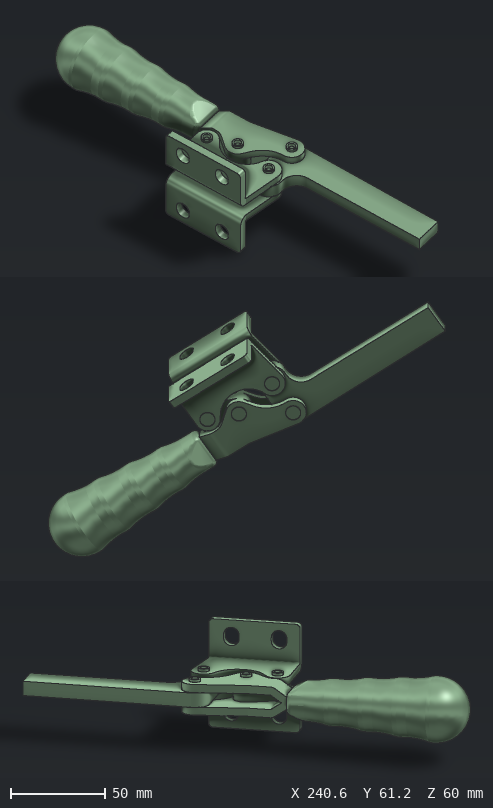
import cadquery as cq
import math


sheet = 4.5
inner_gap = 8.0
half_gap = inner_gap / 2
plate_face = half_gap + sheet
bend_outer_radius = 5.0
bend_inner_radius = bend_outer_radius - sheet

rear_pivot = (6.75, 27.2)
link_pivot = (22.4, 33.8)
front_pivot = (46.7, 29.0)
arm_pivot = (46.7, 49.2)
lobe_radius = 7.0

base_length = 50.0
base_width = 60.0
flange_corner_radius = 2.5
notch_centre = (26.4, 37.2)
slot_first_x = 11.6
slot_pitch_x = 26.0
slot_pitch_z = 41.6
slot_width = 8.4
slot_length = 10.0

lever_axis_y = 43.2
lever_neck_width = 16.0
lever_shoulder_x = 17.5
lever_crook_radius = 19.0
joggle_end_x = 5.2
joggle_angle = 34.0
lever_tail_x = -7.0

arm_end_x = 138.8
arm_lower_y = 40.0
arm_upper_y = 56.4
arm_boss_radius = 8.0
arm_throat_radius = 9.4

rivet_radius = 3.0
rivet_head_height = 1.5
rivet_foot_radius = 4.0
rivet_foot_height = 0.5
dimple_radius = 2.0

grip_start_x = -101.8
grip_length = 98.0
ball_radius = 18.0
ball_end = 19.9
ring_first = 31.2
ring_pitch = 18.9
ring_land = 5.0
ring_length = 7.8
ring_radii = (16.0, 14.4, 12.7)
ring_swell = 0.2
groove_sag = 0.35
grip_end_radius = 11.1
grip_end_round = 3.0
taper_start = 88.5
taper_end_half_height = 5.4


def polar(centre, radius, angle):
    """Point at a radius and an angle in radians around a centre."""
    return (centre[0] + radius * math.cos(angle), centre[1] + radius * math.sin(angle))


def tangent(centre_a, radius_a, centre_b, radius_b):
    """Ends of the line touching two circles, travelling from a to b.

    A positive radius puts the contact on the left of the line of travel, a
    negative radius on the right, and zero stands for a plain point.
    """
    dx = centre_b[0] - centre_a[0]
    dy = centre_b[1] - centre_a[1]
    turn = math.acos((radius_a - radius_b) / math.hypot(dx, dy))
    normal = math.atan2(dy, dx) + turn
    return polar(centre_a, radius_a, normal), polar(centre_b, radius_b, normal)


def arc_to(path, centre, start, end, clockwise):
    """Continue a path from start to end on an arc around a centre."""
    start_angle = math.atan2(start[1] - centre[1], start[0] - centre[0])
    end_angle = math.atan2(end[1] - centre[1], end[0] - centre[0])
    if clockwise:
        sweep = -((start_angle - end_angle) % (2 * math.pi))
    else:
        sweep = (end_angle - start_angle) % (2 * math.pi)
    radius = math.dist(centre, start)
    return path.threePointArc(polar(centre, radius, start_angle + sweep / 2), end)


def sagging_arc_to(path, start, end, sag):
    """Continue a path on an arc that passes below the chord midpoint by sag."""
    middle = ((start[0] + end[0]) / 2, (start[1] + end[1]) / 2 - sag)
    return path.threePointArc(middle, end)


def base_web_outline():
    """Side outline of the base: two lobes with a round notch between them."""
    notch_radius = math.dist(notch_centre, front_pivot) - lobe_radius
    rear_lobe_start = (0, rear_pivot[1])
    rear_lobe_end, notch_start = tangent(rear_pivot, rear_pivot[0], notch_centre, -notch_radius)
    notch_angle = math.atan2(notch_centre[1] - front_pivot[1], notch_centre[0] - front_pivot[0])
    notch_end = polar(front_pivot, lobe_radius, notch_angle)
    front_corner = (base_length, bend_outer_radius)
    front_lobe_end, _ = tangent(front_pivot, lobe_radius, front_corner, 0)

    path = cq.Workplane("XY").lineTo(*rear_lobe_start)
    path = arc_to(path, rear_pivot, rear_lobe_start, rear_lobe_end, True)
    path = path.lineTo(*notch_start)
    path = arc_to(path, notch_centre, notch_start, notch_end, False)
    path = arc_to(path, front_pivot, notch_end, front_lobe_end, True)
    return path.lineTo(*front_corner).lineTo(base_length, 0).close()


def make_base_half():
    """Upper angle plate of the base: a web bent outward into a slotted flange."""
    reach = arm_pivot[1]
    span = arm_end_x
    half_width = base_width / 2
    angle_bar = (
        cq.Workplane("YZ")
        .moveTo(0, half_gap + bend_outer_radius)
        .lineTo(0, half_width)
        .lineTo(sheet, half_width)
        .lineTo(sheet, plate_face + bend_inner_radius)
        .radiusArc((bend_outer_radius, plate_face), -bend_inner_radius)
        .lineTo(reach, plate_face)
        .lineTo(reach, half_gap)
        .lineTo(bend_outer_radius, half_gap)
        .radiusArc((0, half_gap + bend_outer_radius), bend_outer_radius)
        .close()
        .extrude(span)
    )
    plate = angle_bar.intersect(base_web_outline().extrude(half_width))
    plate = plate.edges("|Y").edges(">Z").fillet(flange_corner_radius)
    slots = (
        cq.Workplane("XZ")
        .pushPoints([(slot_first_x + i * slot_pitch_x, slot_pitch_z / 2) for i in range(2)])
        .slot2D(slot_length, slot_width, 90)
        .extrude(-sheet)
    )
    return plate.cut(slots)


def lever_outline():
    """Side outline of the lever plates, from the grip to the arm pivot."""
    upper_y = lever_axis_y + lever_neck_width / 2
    lower_y = lever_axis_y - lever_neck_width / 2
    rear_radius = lower_y - rear_pivot[1]
    shoulder = (lever_shoulder_x, upper_y)
    _, arm_lobe_start = tangent(shoulder, 0, arm_pivot, lobe_radius)
    arm_lobe_end = (arm_pivot[0], arm_pivot[1] - lobe_radius)
    crook_centre = (arm_pivot[0], arm_lobe_end[1] - lever_crook_radius)
    crook_end, link_lobe_start = tangent(crook_centre, -lever_crook_radius, link_pivot, lobe_radius)
    link_lobe_end, rear_start = tangent(link_pivot, lobe_radius, rear_pivot, -rear_radius)
    rear_end = (rear_pivot[0], lower_y)

    path = cq.Workplane("XY").moveTo(lever_tail_x, lower_y).lineTo(lever_tail_x, upper_y)
    path = path.lineTo(*shoulder).lineTo(*arm_lobe_start)
    path = arc_to(path, arm_pivot, arm_lobe_start, arm_lobe_end, True)
    path = arc_to(path, crook_centre, arm_lobe_end, crook_end, False)
    path = path.lineTo(*link_lobe_start)
    path = arc_to(path, link_pivot, link_lobe_start, link_lobe_end, True)
    path = path.lineTo(*rear_start)
    path = arc_to(path, rear_pivot, rear_start, rear_end, False)
    return path.close()


def make_lever_half():
    """Upper lever plate, bent down to the middle plane where it enters the grip."""
    angle = math.radians(joggle_angle)
    bend_centre = (joggle_end_x, plate_face - bend_outer_radius)
    slope_angle = math.pi / 2 + angle
    outer_bend = polar(bend_centre, bend_outer_radius, slope_angle)
    inner_bend = polar(bend_centre, bend_inner_radius, slope_angle)
    tail_z = outer_bend[1] - (outer_bend[0] - lever_tail_x) * math.tan(angle)
    meeting_x = inner_bend[0] - inner_bend[1] / math.tan(angle)
    flat_end_x = arm_pivot[0] + lobe_radius
    outer_flat = (joggle_end_x, plate_face)
    inner_flat = (joggle_end_x, half_gap)

    path = cq.Workplane("XZ").moveTo(lever_tail_x, 0).lineTo(lever_tail_x, tail_z)
    path = path.lineTo(*outer_bend)
    path = arc_to(path, bend_centre, outer_bend, outer_flat, True)
    path = path.lineTo(flat_end_x, plate_face).lineTo(flat_end_x, half_gap).lineTo(*inner_flat)
    path = arc_to(path, bend_centre, inner_flat, inner_bend, False)
    path = path.lineTo(meeting_x, 0).close()
    strip = path.extrude(-(arm_pivot[1] + lobe_radius))
    return strip.intersect(lever_outline().extrude(plate_face))


def make_link():
    """Round-ended link between the rear base pivot and the lever."""
    lower_a, lower_b = tangent(rear_pivot, -lobe_radius, link_pivot, -lobe_radius)
    upper_b, upper_a = tangent(link_pivot, -lobe_radius, rear_pivot, -lobe_radius)
    path = cq.Workplane("XY").moveTo(*lower_a).lineTo(*lower_b)
    path = arc_to(path, link_pivot, lower_b, upper_b, False)
    path = path.lineTo(*upper_a)
    path = arc_to(path, rear_pivot, upper_a, lower_a, False)
    return path.close().extrude(inner_gap).translate((0, 0, -half_gap))


def make_arm():
    """Solid clamping arm with a round-ended root carrying its two pivots."""
    root_left = arm_pivot[0] - arm_boss_radius
    root_right = arm_pivot[0] + arm_boss_radius
    boss_top = (arm_pivot[0], arm_pivot[1] + arm_boss_radius)
    throat_end = (root_right, arm_lower_y - arm_throat_radius)
    return (
        cq.Workplane("XY")
        .moveTo(root_left, front_pivot[1])
        .lineTo(root_left, arm_pivot[1])
        .radiusArc(boss_top, arm_boss_radius)
        .lineTo(arm_end_x, arm_upper_y)
        .lineTo(arm_end_x, arm_lower_y)
        .lineTo(root_right + arm_throat_radius, arm_lower_y)
        .radiusArc(throat_end, -arm_throat_radius)
        .lineTo(root_right, front_pivot[1])
        .radiusArc((front_pivot[0], front_pivot[1] - arm_boss_radius), arm_boss_radius)
        .radiusArc((root_left, front_pivot[1]), arm_boss_radius)
        .close()
        .extrude(inner_gap)
        .translate((0, 0, -half_gap))
    )


def make_rivet(pivot):
    """Rivet through both plates: a dimpled head above and a thin foot below."""
    head_z = plate_face + rivet_head_height
    foot_z = -plate_face - rivet_foot_height
    shank = cq.Workplane("XY", origin=(*pivot, -plate_face))
    shank = shank.circle(rivet_radius).extrude(plate_face + head_z)
    foot = cq.Workplane("XY", origin=(*pivot, foot_z))
    foot = foot.circle(rivet_foot_radius).extrude(rivet_foot_height)
    dimple = cq.Workplane("XY", origin=(*pivot, head_z)).sphere(dimple_radius)
    return shank.cut(dimple).union(foot)


def make_grip_body():
    """Turned grip: ball end, three rings with hollow grooves, plain end."""
    half_diagonal = ball_radius * math.sqrt(0.5)
    end_straight = ring_first + len(ring_radii) * ring_pitch
    position = (ball_end, ball_radius)

    path = cq.Workplane("XY").threePointArc(
        (ball_radius - half_diagonal, half_diagonal), (ball_radius, ball_radius)
    )
    path = path.lineTo(*position)
    for i, radius in enumerate(ring_radii):
        ring_start = ring_first + i * ring_pitch
        crest = (ring_start + ring_land, radius + ring_swell)
        ring_end = (ring_start + ring_length, radius)
        path = sagging_arc_to(path, position, (ring_start, radius), groove_sag)
        path = path.lineTo(*crest)
        path = sagging_arc_to(path, crest, ring_end, -ring_swell / 2)
        position = ring_end
    path = sagging_arc_to(path, position, (end_straight, grip_end_radius), groove_sag)
    path = path.lineTo(grip_length, grip_end_radius)
    return path.lineTo(grip_length, 0).close().revolve(360, (0, 0, 0), (1, 0, 0))


def make_grip():
    """Grip with its lever end flattened above and below, set on the lever axis."""
    flat_cutter = (
        cq.Workplane("XZ")
        .moveTo(taper_start, grip_end_radius)
        .lineTo(grip_length, taper_end_half_height)
        .lineTo(grip_length, grip_end_radius)
        .close()
        .extrude(grip_end_radius, both=True)
    )
    grip = make_grip_body().cut(flat_cutter).cut(flat_cutter.mirror("XY"))
    grip = grip.faces("%Plane").edges().fillet(grip_end_round)
    return grip.translate((grip_start_x, lever_axis_y, 0))


result = make_arm().union(make_link()).union(make_grip())
for make_half in (make_base_half, make_lever_half):
    half = make_half()
    result = result.union(half).union(half.mirror("XY"))
for pivot in (rear_pivot, link_pivot, front_pivot, arm_pivot):
    result = result.union(make_rivet(pivot))